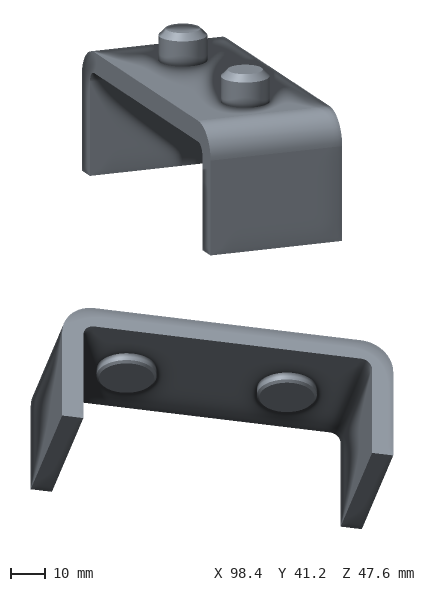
import cadquery as cq

length = 98.4
width = 41.2
channel_height = 38.1
thickness = 6.3
outer_bend_radius = 9.5
inner_bend_radius = outer_bend_radius - thickness

pin_diameter = 14.2
pin_projection = 9.5
pin_chamfer = 2.0
head_diameter = 17.4
head_height = 3.1
head_chamfer = 0.7
first_pin_inset = 27.0
pin_spacing = 47.6

web_underside = channel_height - thickness
first_pin_x = first_pin_inset - length / 2


def make_channel():
    """Constant-thickness U channel centred on X and Y, standing on Z = 0."""
    outer = (
        cq.Workplane("XY")
        .box(length, width, channel_height, centered=(True, True, False))
        .edges("|Y and >Z")
        .fillet(outer_bend_radius)
    )
    inner = (
        cq.Workplane("XY")
        .box(length - 2 * thickness, width, web_underside, centered=(True, True, False))
        .edges("|Y and >Z")
        .fillet(inner_bend_radius)
    )
    return outer.cut(inner)


def make_pin(x):
    """Pin with a chamfered tip above the web and a chamfered head below it."""
    shank = (
        cq.Workplane("XY", origin=(x, 0, web_underside))
        .circle(pin_diameter / 2)
        .extrude(thickness + pin_projection)
        .faces(">Z")
        .chamfer(pin_chamfer)
    )
    head = (
        cq.Workplane("XY", origin=(x, 0, web_underside - head_height))
        .circle(head_diameter / 2)
        .extrude(head_height)
        .faces("<Z")
        .chamfer(head_chamfer)
    )
    return shank.union(head)


result = make_channel()
for pin_x in (first_pin_x, first_pin_x + pin_spacing):
    result = result.union(make_pin(pin_x))